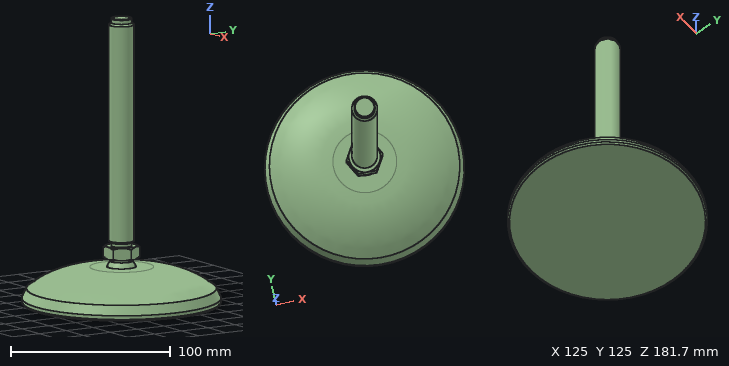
import cadquery as cq
import math

TOTAL_HEIGHT = 181.7

PLATE_RADIUS = 62.5
PLATE_HEIGHT = 23.5
PLATE_TOP_RADIUS = 20.0
BOTTOM_CHAMFER = 1.0
RIM_TOP = 3.5
SHOULDER_RADIUS = 59.6
SHOULDER_HEIGHT = 9.6
DOME_ARC_RADIUS = 64.5

ROD_RADIUS = 8.0
NECK_RADIUS = 6.5
ROD_BOTTOM = 38.7
ROD_TOP = 178.6
ROD_CHAMFER_HEIGHT = 1.3
TIP_CHAMFER = 0.5

STEM_RADIUS = 14.0 / 2
BALL_TOP = 26.9
BALL_FOOT_RADIUS = 18.4 / 2
BALL_RADIUS = 9.6

HEX_ACROSS_FLATS = 20.0
HEX_BOTTOM = 28.7
HEX_TOP = 36.7
HEX_CHAMFER_ANGLE = 30.0
HEX_FACE_RADIUS = 19.8 / 2


def revolve_about_z(profile):
    """Close a half profile drawn in the XZ plane and turn it about the Z axis."""
    return profile.close().revolve(360, (0, 0, 0), (0, 1, 0))


def make_plate():
    """Domed plate with a conical skirt and a short straight rim."""
    return revolve_about_z(
        cq.Workplane("XZ")
        .lineTo(PLATE_RADIUS - BOTTOM_CHAMFER, 0)
        .lineTo(PLATE_RADIUS, BOTTOM_CHAMFER)
        .lineTo(PLATE_RADIUS, RIM_TOP)
        .lineTo(SHOULDER_RADIUS, SHOULDER_HEIGHT)
        .radiusArc((PLATE_TOP_RADIUS, PLATE_HEIGHT), -DOME_ARC_RADIUS)
        .lineTo(0, PLATE_HEIGHT)
    )


def make_spindle():
    """Ball end, stem, undercut neck, plain rod and reduced tip in one turned profile."""
    return revolve_about_z(
        cq.Workplane("XZ")
        .lineTo(BALL_FOOT_RADIUS, 0)
        .lineTo(BALL_FOOT_RADIUS, PLATE_HEIGHT)
        .radiusArc((STEM_RADIUS, BALL_TOP), -BALL_RADIUS)
        .lineTo(STEM_RADIUS, HEX_TOP)
        .lineTo(NECK_RADIUS, HEX_TOP)
        .lineTo(NECK_RADIUS, ROD_BOTTOM)
        .lineTo(ROD_RADIUS, ROD_BOTTOM + ROD_CHAMFER_HEIGHT)
        .lineTo(ROD_RADIUS, ROD_TOP - ROD_CHAMFER_HEIGHT)
        .lineTo(NECK_RADIUS, ROD_TOP)
        .lineTo(NECK_RADIUS, TOTAL_HEIGHT - TIP_CHAMFER)
        .lineTo(NECK_RADIUS - TIP_CHAMFER, TOTAL_HEIGHT)
        .lineTo(0, TOTAL_HEIGHT)
    )


def make_hexagon():
    """Hexagon with corners along X, its corners cut by a cone at both ends."""
    corner_radius = HEX_ACROSS_FLATS / math.sqrt(3)
    corner_drop = (corner_radius - HEX_FACE_RADIUS) * math.tan(math.radians(HEX_CHAMFER_ANGLE))
    prism = (
        cq.Workplane("XY", origin=(0, 0, HEX_BOTTOM))
        .polygon(6, 2 * corner_radius)
        .extrude(HEX_TOP - HEX_BOTTOM)
    )
    envelope = revolve_about_z(
        cq.Workplane("XZ")
        .moveTo(0, HEX_BOTTOM)
        .lineTo(HEX_FACE_RADIUS, HEX_BOTTOM)
        .lineTo(corner_radius, HEX_BOTTOM + corner_drop)
        .lineTo(corner_radius, HEX_TOP - corner_drop)
        .lineTo(HEX_FACE_RADIUS, HEX_TOP)
        .lineTo(0, HEX_TOP)
    )
    return prism.intersect(envelope)


result = make_plate().union(make_spindle()).union(make_hexagon())